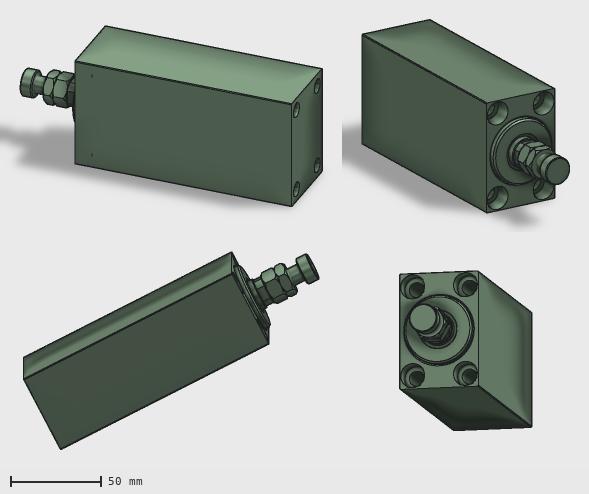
import cadquery as cq
import math


TOTAL_LENGTH = 169.0
HEAD_END = 7.0
HEX_START = 14.0
NUT_START = 20.0
NUT_END = 28.4
FLATS_END = 33.0
GLAND_FACE = 36.0
HOUSING_FACE = 39.0

BLOCK_WIDTH = 45.0
BLOCK_HEIGHT = 65.0
BLOCK_EDGE_CHAMFER = 0.5
BOLT_PITCH_Y = 30.0
BOLT_PITCH_Z = 50.0
BOLT_HOLE_DIAMETER = 8.5
COUNTERBORE_DIAMETER = 13.5
COUNTERBORE_DEPTH = 10.1

GLAND_RADIUS = 19.3
GLAND_CHAMFER = 1.0
GLAND_SEAT_DEPTH = 20.3
GLAND_END = HOUSING_FACE + GLAND_SEAT_DEPTH
SEAT_CHAMFER = 0.8
WIPER_RECESS_RADIUS = 10.8
WIPER_RECESS_DEPTH = 1.4

HEAD_RADIUS = 8.0
HEAD_CHAMFER = 0.7
HEAD_RIM_CHAMFER = 0.5
NECK_RADIUS = 5.0
NECK_FILLET = 1.0
ROD_RADIUS = 9.0
ROD_SHOULDER_CHAMFER = 0.5
FLATS_RADIUS = ROD_RADIUS - ROD_SHOULDER_CHAMFER
FLATS_ACROSS = 15.0

HEX_ACROSS_FLATS = 16.9
HEX_FACE_RADIUS = HEX_ACROSS_FLATS / 2
ROD_HEX_CHAMFER_ANGLE = 45.0
NUT_CHAMFER_ANGLE = 40.0
WASHER_FACE_THICKNESS = 0.3


def cylinder(x_start, x_end, radius):
    """Round bar on the X axis."""
    return cq.Workplane("YZ").workplane(offset=x_start).circle(radius).extrude(x_end - x_start)


def chamfered_hexagon(x_start, x_end, chamfer_angle):
    """Hexagonal bar with its corners cut by a cone at each end."""
    corner_radius = HEX_FACE_RADIUS / math.cos(math.radians(30))
    chamfer_radial = corner_radius - HEX_FACE_RADIUS
    chamfer_axial = chamfer_radial * math.tan(math.radians(chamfer_angle))
    hexagon = (
        cq.Workplane("YZ")
        .workplane(offset=x_start)
        .polygon(6, 2 * corner_radius)
        .extrude(x_end - x_start)
    )
    envelope = (
        cq.Workplane("XY")
        .moveTo(x_start, 0)
        .lineTo(x_start, HEX_FACE_RADIUS)
        .lineTo(x_start + chamfer_axial, corner_radius)
        .lineTo(x_end - chamfer_axial, corner_radius)
        .lineTo(x_end, HEX_FACE_RADIUS)
        .lineTo(x_end, 0)
        .close()
        .revolve(360, (0, 0, 0), (1, 0, 0))
    )
    return hexagon.intersect(envelope)


def make_housing():
    block = (
        cq.Workplane("YZ")
        .workplane(offset=HOUSING_FACE)
        .rect(BLOCK_WIDTH, BLOCK_HEIGHT)
        .extrude(TOTAL_LENGTH - HOUSING_FACE)
        .edges("|X")
        .chamfer(BLOCK_EDGE_CHAMFER)
    )
    bolt_positions = cq.Workplane("YZ").workplane(offset=HOUSING_FACE).rect(
        BOLT_PITCH_Y, BOLT_PITCH_Z, forConstruction=True
    ).vertices()
    bolt_holes = bolt_positions.circle(BOLT_HOLE_DIAMETER / 2).extrude(TOTAL_LENGTH - HOUSING_FACE)
    counterbores = bolt_positions.circle(COUNTERBORE_DIAMETER / 2).extrude(COUNTERBORE_DEPTH)

    gland_seat = cylinder(HOUSING_FACE, GLAND_END, GLAND_RADIUS)
    seat_lead_in = cq.Workplane(
        cq.Solid.makeCone(
            GLAND_RADIUS + SEAT_CHAMFER,
            GLAND_RADIUS,
            SEAT_CHAMFER,
            cq.Vector(HOUSING_FACE, 0, 0),
            cq.Vector(1, 0, 0),
        )
    )
    return block.cut(bolt_holes).cut(counterbores).cut(gland_seat).cut(seat_lead_in)


def make_gland():
    sleeve = cylinder(GLAND_FACE, GLAND_END, GLAND_RADIUS).faces("<X").chamfer(GLAND_CHAMFER)
    rod_bore = cylinder(GLAND_FACE, GLAND_END, ROD_RADIUS)
    wiper_recess = cylinder(GLAND_FACE, GLAND_FACE + WIPER_RECESS_DEPTH, WIPER_RECESS_RADIUS)
    return sleeve.cut(rod_bore).cut(wiper_recess)


def make_rod():
    head_and_neck = (
        cq.Workplane("XY")
        .lineTo(0, HEAD_RADIUS - HEAD_RIM_CHAMFER)
        .lineTo(HEAD_RIM_CHAMFER, HEAD_RADIUS)
        .lineTo(HEAD_END - HEAD_CHAMFER, HEAD_RADIUS)
        .lineTo(HEAD_END, HEAD_RADIUS - HEAD_CHAMFER)
        .lineTo(HEAD_END, NECK_RADIUS + NECK_FILLET)
        .radiusArc((HEAD_END + NECK_FILLET, NECK_RADIUS), -NECK_FILLET)
        .lineTo(HEX_START - NECK_FILLET, NECK_RADIUS)
        .radiusArc((HEX_START, NECK_RADIUS + NECK_FILLET), -NECK_FILLET)
        .lineTo(HEX_START, 0)
        .close()
        .revolve(360, (0, 0, 0), (1, 0, 0))
    )
    hexagon = chamfered_hexagon(HEX_START, NUT_START, ROD_HEX_CHAMFER_ANGLE)
    thread = cylinder(NUT_START, NUT_END, NECK_RADIUS)
    flats = cylinder(NUT_END, FLATS_END, FLATS_RADIUS).intersect(
        cq.Workplane("YZ")
        .workplane(offset=NUT_END)
        .rect(FLATS_ACROSS, FLATS_ACROSS)
        .extrude(FLATS_END - NUT_END)
    )
    shank = cylinder(FLATS_END, GLAND_END, ROD_RADIUS).faces("<X").chamfer(ROD_SHOULDER_CHAMFER)
    return head_and_neck.union(hexagon).union(thread).union(flats).union(shank)


def make_nut():
    washer_start = NUT_END - WASHER_FACE_THICKNESS
    hexagon = chamfered_hexagon(NUT_START, washer_start, NUT_CHAMFER_ANGLE)
    washer_face = cylinder(washer_start, NUT_END, HEX_FACE_RADIUS)
    bore = cylinder(NUT_START, NUT_END, NECK_RADIUS)
    return hexagon.union(washer_face).cut(bore)


housing = make_housing()
gland = make_gland()
rod = make_rod()
nut = make_nut()

result = cq.Compound.makeCompound([housing.val(), gland.val(), rod.val(), nut.val()])